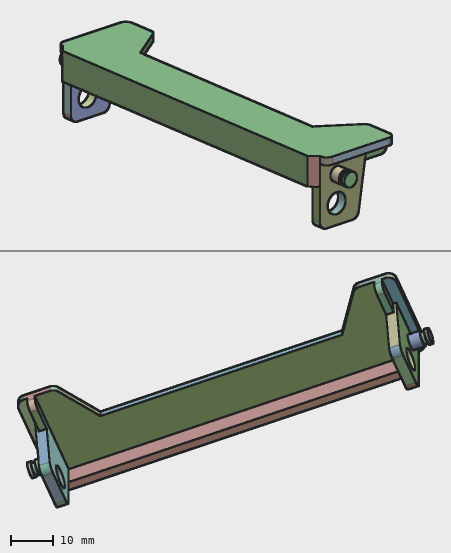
import cadquery as cq

pin_span = 101.6
depth = 24.0
height = 19.0

plate_length = 95.9
plate_thickness = 2.0
corner_radius = 2.0
bar_depth = 13.1
notch_half_back = 38.1
notch_half_front = 30.7

wall_thickness = 2.1
wall_height = 7.8
wall_chamfer = 2.0

leg_outer_x = 45.8
leg_thickness = 2.7
leg_back_top = 17.1
leg_back_bottom = 14.1

rib_thickness = 1.9
rib_height = 5.2

axis_y = 7.4
pin_z = -5.9
pin_diameter = 4.0
pin_head_length = 0.9
groove_width = 1.0
groove_depth = 0.4
hole_z = -13.4
hole_diameter = 5.6


def make_plate():
    half = plate_length / 2
    outline = [
        (-half, wall_thickness),
        (half, wall_thickness),
        (half, depth),
        (notch_half_back, depth),
        (notch_half_front, bar_depth),
        (-notch_half_front, bar_depth),
        (-notch_half_back, depth),
        (-half, depth),
    ]
    plate = cq.Workplane("XY").polyline(outline).close().extrude(-plate_thickness)
    plate = plate.edges("|Z and >Y").fillet(corner_radius)
    return plate.edges("|Z and <Y").fillet(corner_radius)


def make_front_wall():
    half_front = leg_outer_x - wall_chamfer
    outline = [
        (-half_front, 0),
        (half_front, 0),
        (leg_outer_x, wall_thickness),
        (-leg_outer_x, wall_thickness),
    ]
    return cq.Workplane("XY").polyline(outline).close().extrude(-wall_height)


def make_right_leg():
    inner_x = leg_outer_x - leg_thickness
    profile = [
        (wall_thickness, 0),
        (leg_back_top, 0),
        (leg_back_bottom, -height),
        (wall_thickness, -height),
    ]
    inner_face = cq.Workplane("YZ", origin=(inner_x, 0, 0))
    leg = inner_face.polyline(profile).close().extrude(leg_thickness)
    leg = leg.edges("|X and <Z").fillet(corner_radius)
    hole = inner_face.center(axis_y, hole_z).circle(hole_diameter / 2).extrude(leg_thickness)
    return leg.cut(hole)


def make_right_rib():
    rib = cq.Workplane("XY").box(
        rib_thickness, depth - wall_thickness, rib_height, centered=False
    )
    rib = rib.edges("|X and >Y and <Z").fillet(corner_radius)
    return rib.translate((leg_outer_x - leg_thickness, wall_thickness, -rib_height))


def make_right_pin():
    tip_x = pin_span / 2
    radius = pin_diameter / 2
    groove_end = tip_x - pin_head_length
    groove_start = groove_end - groove_width
    profile = [
        (leg_outer_x, 0),
        (leg_outer_x, radius),
        (groove_start, radius),
        (groove_start, radius - groove_depth),
        (groove_end, radius - groove_depth),
        (groove_end, radius),
        (tip_x, radius),
        (tip_x, 0),
    ]
    pin = cq.Workplane("XY").polyline(profile).close().revolve(360, (0, 0, 0), (1, 0, 0))
    return pin.translate((0, axis_y, pin_z))


result = make_plate().union(make_front_wall())
for side_feature in (make_right_leg(), make_right_rib(), make_right_pin()):
    result = result.union(side_feature).union(side_feature.mirror("YZ"))